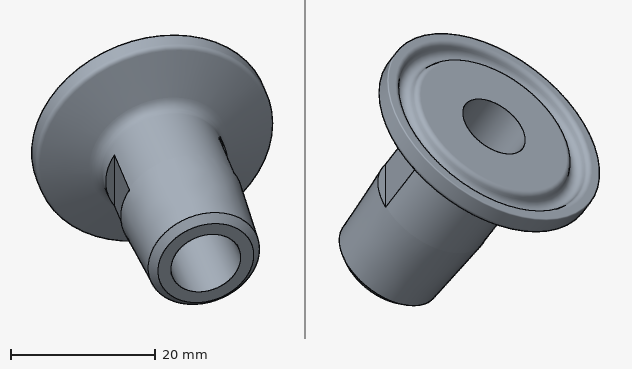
import cadquery as cq
import math

length = 30.0
flange_radius = 17.0
neck_radius = 8.75
bore_radius = 5.0

rim_end = 2.28
face_edge_round = 0.17
back_edge_round = 0.75
neck_fillet = 2.0
slope = math.radians(20)

taper_start = 16.85
taper_end_radius = 8.0
tip_chamfer_length = 1.05
tip_radius = 6.87

flat_start = 9.0
flat_end = 17.0
flat_distance = 7.48

groove_mid_radius = 13.75
groove_half_width = 2.0
groove_bottom_round = 1.15
groove_lip_round = 0.8


def turned_body():
    """Solid of revolution, without bore, flats or groove."""
    setback = math.tan((math.pi / 2 - slope) / 2)
    cone_rim_x = rim_end + back_edge_round * setback
    cone_neck_x = cone_rim_x + (flange_radius - neck_radius) * math.tan(slope)
    across = math.cos(slope)
    drop = 1 - math.sin(slope)
    back_round_end = (rim_end + back_edge_round * across, flange_radius - back_edge_round * drop)
    neck_blend_end = cone_neck_x + neck_fillet * setback
    neck_blend_start = (neck_blend_end - neck_fillet * across, neck_radius + neck_fillet * drop)
    profile = (
        cq.Workplane("XY")
        .moveTo(0, 0)
        .lineTo(0, flange_radius - face_edge_round)
        .tangentArcPoint((face_edge_round, flange_radius), relative=False)
        .lineTo(rim_end, flange_radius)
        .tangentArcPoint(back_round_end, relative=False)
        .lineTo(*neck_blend_start)
        .tangentArcPoint((neck_blend_end, neck_radius), relative=False)
        .lineTo(taper_start, neck_radius)
        .lineTo(length - tip_chamfer_length, taper_end_radius)
        .lineTo(length, tip_radius)
        .lineTo(length, 0)
        .close()
    )
    return profile.revolve(360, (0, 0, 0), (1, 0, 0))


def gasket_groove():
    """Ring with a round bottom, sloping flanks and rounded lips."""
    across = math.cos(slope)
    drop = 1 - math.sin(slope)
    bottom_half = groove_bottom_round * across
    lip_half = groove_half_width - groove_lip_round * across
    lip_depth = groove_lip_round * drop
    flank_depth = lip_depth + (lip_half - bottom_half) / math.tan(slope)
    depth = flank_depth + groove_bottom_round * drop
    half_turn = (math.pi / 2 - slope) / 2
    lip_mid_half = groove_half_width - groove_lip_round * math.sin(half_turn)
    lip_mid_depth = groove_lip_round * (1 - math.cos(half_turn))
    mid = groove_mid_radius
    profile = (
        cq.Workplane("XY")
        .moveTo(0, mid - groove_half_width)
        .threePointArc((lip_mid_depth, mid - lip_mid_half), (lip_depth, mid - lip_half))
        .lineTo(flank_depth, mid - bottom_half)
        .threePointArc((depth, mid), (flank_depth, mid + bottom_half))
        .lineTo(lip_depth, mid + lip_half)
        .threePointArc((lip_mid_depth, mid + lip_mid_half), (0, mid + groove_half_width))
        .close()
    )
    return profile.revolve(360, (0, 0, 0), (1, 0, 0))


def wrench_flat(side):
    """Block that removes the neck beyond the flat on the +Y (1) or -Y (-1) side."""
    block_depth = neck_radius
    return cq.Workplane("XY").box(flat_end - flat_start, block_depth, 2 * neck_radius).translate(
        ((flat_start + flat_end) / 2, side * (flat_distance + block_depth / 2), 0)
    )


bore = cq.Workplane("YZ").circle(bore_radius).extrude(length)

result = turned_body().cut(gasket_groove()).cut(bore)
for side in (-1, 1):
    result = result.cut(wrench_flat(side))